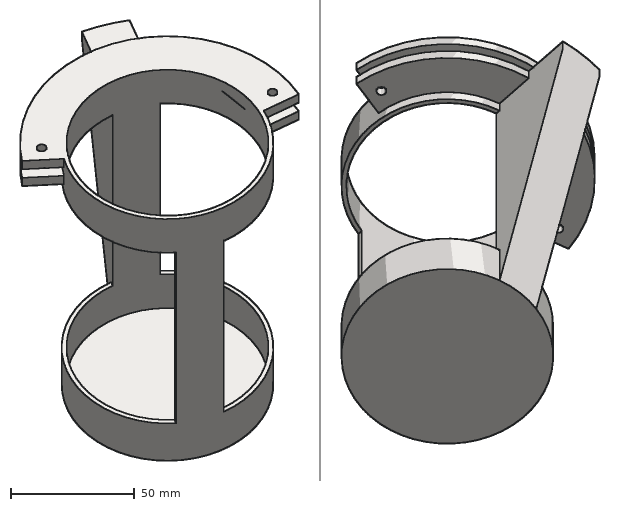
import cadquery as cq

total_height = 142.0
outer_radius = 43.0
inner_radius = 41.0
cup_height = 22.0
floor_thickness = 2.0

flange_radius = 59.9
flange_thickness = 5.0
flange_pitch = 2 * flange_thickness
collar_height = 4 * flange_thickness
wedge_apex_x = 6.4
end_x = -9.0
end_y = 59.28
hole_x = -13.3
hole_y = 49.4
hole_diameter = 4.0

rib_width = 20.5
rib_radius = 80.0
rib_top = total_height - flange_pitch
rib_edge_bottom = rib_top - flange_thickness


def cylinder(radius, bottom, top):
    return cq.Workplane("XY").workplane(offset=bottom).circle(radius).extrude(top - bottom)


def flange(top):
    """Disc sector with straight ends, drilled near each end."""
    bottom = top - flange_thickness
    disc = cylinder(flange_radius, bottom, top)
    reach = 2.0
    corner_x = wedge_apex_x + reach * (end_x - wedge_apex_x)
    corner_y = reach * end_y
    far_x = -2 * flange_radius
    sector = (
        cq.Workplane("XY")
        .workplane(offset=bottom)
        .polyline([
            (wedge_apex_x, 0),
            (corner_x, corner_y),
            (far_x, corner_y),
            (far_x, -corner_y),
            (corner_x, -corner_y),
        ])
        .close()
        .extrude(flange_thickness)
    )
    holes = (
        cq.Workplane("XY")
        .workplane(offset=bottom)
        .pushPoints([(hole_x, hole_y), (hole_x, -hole_y)])
        .circle(hole_diameter / 2)
        .extrude(flange_thickness)
    )
    return disc.intersect(sector).cut(holes)


def handle_rib():
    """Slice of a cone that widens from the cup base up to a short vertical rim."""
    cone = (
        cq.Workplane("XZ")
        .polyline([
            (0, 0),
            (outer_radius, 0),
            (rib_radius, rib_edge_bottom),
            (rib_radius, rib_top),
            (0, rib_top),
        ])
        .close()
        .revolve(360, (0, 0, 0), (0, 1, 0))
    )
    slab = cq.Workplane("XY").box(rib_radius, rib_width, rib_top, centered=(False, True, False))
    return cone.intersect(slab.translate((-rib_radius, 0, 0)))


def post():
    """Strip of the shell wall that joins the cup to the collar."""
    slab = cq.Workplane("XY").box(outer_radius, rib_width, total_height, centered=(False, True, False))
    return cylinder(outer_radius, 0, total_height).intersect(slab)


result = cylinder(outer_radius, 0, cup_height)
result = result.union(cylinder(outer_radius, total_height - collar_height, total_height))
for flange_top in (total_height, total_height - flange_pitch):
    result = result.union(flange(flange_top))
result = result.union(handle_rib()).union(post())

result = result.cut(cylinder(inner_radius, floor_thickness, total_height))